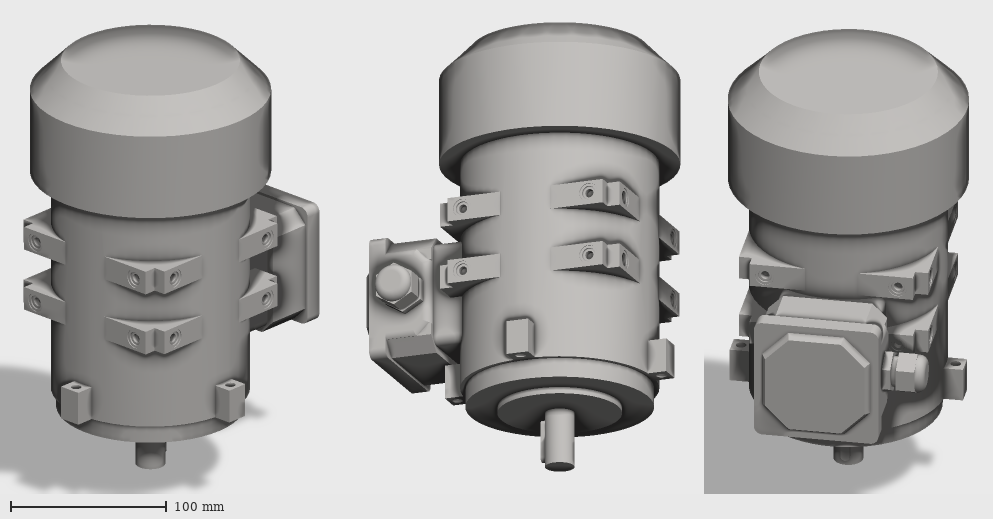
import cadquery as cq
import math


total_height = 282.0
spigot_bottom = 36.5
flange_bottom = 40.5
body_bottom = 53.3
hood_bottom = 205.0

shaft_radius = 9.5
spigot_radius = 40.0
flange_radius = 60.5
body_radius = 64.0
hood_radius = 77.5
hood_chamfer = 20.0

key_width = 6.0
key_length = 28.2
key_bottom = 4.2
key_top_y = 12.0

lug_width = 15.0
lug_height = 22.3
lug_reach = 76.0
lug_hole_radius = 3.5
lug_hole_center = (body_radius + lug_reach) / 2

pad_levels = (119.3, 161.3)
pad_height = 15.8
pad_face = 61.8
pad_start = 17.2
pad_notch = 53.3
screw_offset = 43.5
screw_recess_radius = 6.2
screw_step_radius = 4.5
screw_hole_radius = 2.8
screw_recess_depth = 0.5
screw_step_depth = 1.7
screw_hole_depth = 5.5

box_center_z = 116.0
neck_width = 68.5
box_bottom_y = 73.5
box_width = 77.5
box_corner_chamfer = 9.5
lid_bottom_y = 104.3
lid_top_y = 115.5
lid_width = 81.2
corner_fillet = 5.4
panel_width = 70.5
panel_side = 36.5
panel_height = 4.8
panel_inset = 2.8

plate_width = 61.8
plate_trimmed_width = box_width - 2 * box_corner_chamfer
plate_corner = 9.3
plate_depth = 6.2
plate_face_x = -lid_width / 2

gland_y = 90.5
hex_across_flats = 24.5
gland_neck_radius = 10.0
lock_nut_end_x = -46.0
cap_nut_start_x = -49.5
cap_nut_end_x = -61.8
dome_end_x = -67.7
dome_radius = 12.0
dome_fillet = 5.0


def cylinder(radius, bottom, top):
    return cq.Workplane("XY").workplane(offset=bottom).circle(radius).extrude(top - bottom)


def around_axis(shape, angle):
    return shape.rotate((0, 0, 0), (0, 0, 1), angle)


def make_turned_body():
    hood = cylinder(hood_radius, hood_bottom, total_height).faces(">Z").chamfer(hood_chamfer)
    return (
        cylinder(shaft_radius, 0, body_bottom)
        .union(cylinder(spigot_radius, spigot_bottom, body_bottom))
        .union(cylinder(flange_radius, flange_bottom, body_bottom))
        .union(cylinder(body_radius, body_bottom, hood_bottom))
        .union(hood)
    )


def make_key():
    key_center_z = key_bottom + key_length / 2
    return (
        cq.Workplane("XZ")
        .center(0, key_center_z)
        .slot2D(key_length, key_width, 90)
        .extrude(-key_top_y)
    )


def make_lug():
    """Square lug on the +X side, drilled parallel to the motor axis."""
    lug = (
        cq.Workplane("XY")
        .workplane(offset=body_bottom)
        .center(lug_reach / 2, 0)
        .rect(lug_reach, lug_width)
        .extrude(lug_height)
    )
    drill = cylinder(lug_hole_radius, body_bottom, body_bottom + lug_height)
    return lug, drill.translate((lug_hole_center, 0, 0))


def make_screw_cutter(level):
    """Stepped screw hole entering a pad face that looks toward -Y."""
    face = cq.Workplane("XZ", origin=(screw_offset, -pad_face, level))
    return (
        face.circle(screw_recess_radius).extrude(-screw_recess_depth)
        .union(face.circle(screw_step_radius).extrude(-screw_step_depth))
        .union(face.circle(screw_hole_radius).extrude(-screw_hole_depth))
    )


def make_pad(level):
    """Notched corner pad in the +X, -Y quadrant with one screw hole in each outer face."""
    pad = (
        cq.Workplane("XY")
        .workplane(offset=level - pad_height / 2)
        .moveTo(pad_start, -pad_start)
        .lineTo(pad_start, -pad_face)
        .lineTo(pad_notch, -pad_face)
        .lineTo(pad_notch, -pad_notch)
        .lineTo(pad_face, -pad_notch)
        .lineTo(pad_face, -pad_start)
        .close()
        .extrude(pad_height)
    )
    cutter = make_screw_cutter(level)
    mirrored_cutter = around_axis(cutter.mirror("YZ"), 90)
    return pad.cut(cutter).cut(mirrored_cutter)


def box_block(width_x, width_z, start_y, end_y):
    """Block centred on the terminal box, running from start_y to end_y."""
    plane = cq.Workplane("XZ", origin=(0, start_y, box_center_z))
    return plane.rect(width_x, width_z).extrude(start_y - end_y)


def make_lid_panel():
    """Tapered octagonal panel raised on the lid."""
    half = panel_width / 2
    half_side = panel_side / 2
    corners = [
        (half, -half_side), (half, half_side), (half_side, half), (-half_side, half),
        (-half, half_side), (-half, -half_side), (-half_side, -half), (half_side, -half),
    ]
    taper = math.degrees(math.atan(panel_inset / panel_height))
    plane = cq.Workplane("XZ", origin=(0, lid_top_y, box_center_z))
    return plane.polyline(corners).close().extrude(-panel_height, taper=taper)


def make_entry_plate():
    """Plate with cut corners and a rounded rim on the -X side, trimmed to the flat of the box."""
    length = lid_bottom_y - box_bottom_y
    plate = (
        cq.Workplane("YZ", origin=(plate_face_x, box_bottom_y + length / 2, box_center_z))
        .rect(length, plate_width)
        .extrude(plate_depth)
        .edges("|X and <Y")
        .chamfer(plate_corner)
        .faces("<X")
        .edges("not >Y")
        .fillet(corner_fillet)
    )
    return plate.intersect(box_block(lid_width, plate_trimmed_width, box_bottom_y, lid_bottom_y))


def make_plate_relief():
    """Strip of the box edge cleared away below the entry plate, so the rounded rim runs to the bottom."""
    rim_width = plate_width - 2 * plate_corner
    plane = cq.Workplane("YZ", origin=(-box_width / 2, box_bottom_y + corner_fillet / 2, box_center_z))
    return plane.rect(corner_fillet, rim_width).extrude(plate_face_x + plate_depth + box_width / 2)


def make_terminal_box():
    neck = box_block(neck_width, neck_width, 0, box_bottom_y).edges("|Y").fillet(corner_fillet)
    box = box_block(box_width, box_width, box_bottom_y, lid_bottom_y).edges("|Y").chamfer(box_corner_chamfer)
    lid = box_block(lid_width, lid_width, lid_bottom_y, lid_top_y).edges("|Y").fillet(corner_fillet)
    box = box.cut(make_plate_relief()).union(make_entry_plate())
    return neck.union(box).union(lid).union(make_lid_panel())


def gland_section(start_x, end_x):
    """Sketch plane on the gland axis at start_x and the length from there out to end_x."""
    plane = cq.Workplane("YZ", origin=(start_x, gland_y, box_center_z))
    return plane, end_x - start_x


def make_gland_hex(start_x, end_x):
    plane, length = gland_section(start_x, end_x)
    across_corners = hex_across_flats / math.cos(math.pi / 6)
    return plane.transformed(rotate=(0, 0, 90)).polygon(6, across_corners).extrude(length)


def make_gland():
    plane, length = gland_section(plate_face_x, cap_nut_end_x)
    neck = plane.circle(gland_neck_radius).extrude(length)
    plane, length = gland_section(cap_nut_end_x, dome_end_x)
    dome = plane.circle(dome_radius).extrude(length).faces("<X").edges().fillet(dome_fillet)
    return (
        neck.union(make_gland_hex(plate_face_x, lock_nut_end_x))
        .union(make_gland_hex(cap_nut_start_x, cap_nut_end_x))
        .union(dome)
    )


motor = make_turned_body().union(make_key())

lug, lug_drill = make_lug()
for quarter in range(4):
    angle = 90 * quarter
    motor = motor.union(around_axis(lug, angle)).cut(around_axis(lug_drill, angle))
    for level in pad_levels:
        motor = motor.union(around_axis(make_pad(level), angle))

result = motor.union(make_terminal_box()).union(make_gland())